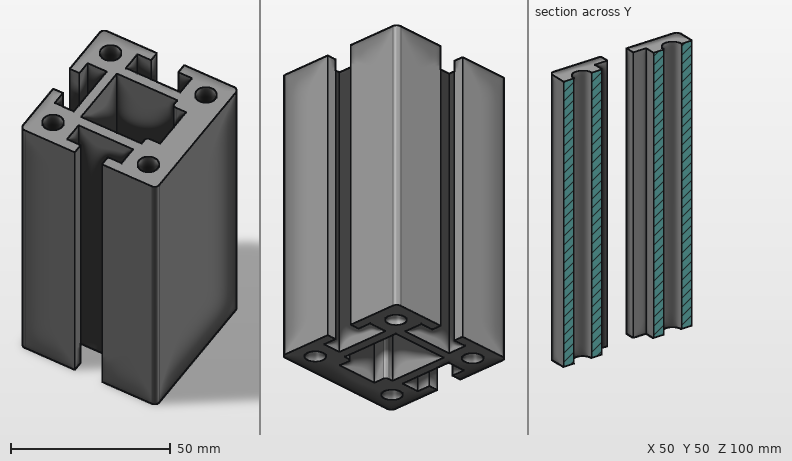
import cadquery as cq

length = 100.0
side = 50.0
half_side = side / 2
corner_radius = 1.7

slot_mouth = 10.0
slot_width = 20.0
lip_thickness = 3.6
slot_depth = 10.6

channel_diameter = 6.8
channel_spacing = 35.0

chamber_left = -11.2
chamber_right = 11.0
chamber_height = 21.8
extension_right = 16.0
extension_height = 15.8
step_radius = 1.2


def box_between(x_min, x_max, width):
    """Full-length box from x_min to x_max, centred on the X axis."""
    return cq.Workplane("XY").box(x_max - x_min, width, length).translate(((x_min + x_max) / 2, 0, 0))


def t_slot(angle):
    """T-slot cutter for the -X face, turned about Z by the given angle."""
    mouth = box_between(-half_side, -half_side + slot_depth, slot_mouth)
    pocket = box_between(-half_side + lip_thickness, -half_side + slot_depth, slot_width)
    return mouth.union(pocket).rotate((0, 0, 0), (0, 0, 1), angle)


result = cq.Workplane("XY").box(side, side, length).edges("|Z").fillet(corner_radius)

for slot_angle in (-90, 0, 90):
    result = result.cut(t_slot(slot_angle))

channels = (
    cq.Workplane("XY")
    .rarray(channel_spacing, channel_spacing, 2, 2)
    .circle(channel_diameter / 2)
    .extrude(length / 2, both=True)
)
result = result.cut(channels)

chamber = box_between(chamber_left, chamber_right, chamber_height)
extension = box_between(chamber_left, extension_right, extension_height)
cavity = chamber.union(extension)
step_corners = cq.selectors.BoxSelector(
    (chamber_right - step_radius, -extension_height / 2 - step_radius, -length),
    (chamber_right + step_radius, extension_height / 2 + step_radius, length),
)
cavity = cavity.edges("|Z").edges(step_corners).fillet(step_radius)
result = result.cut(cavity)